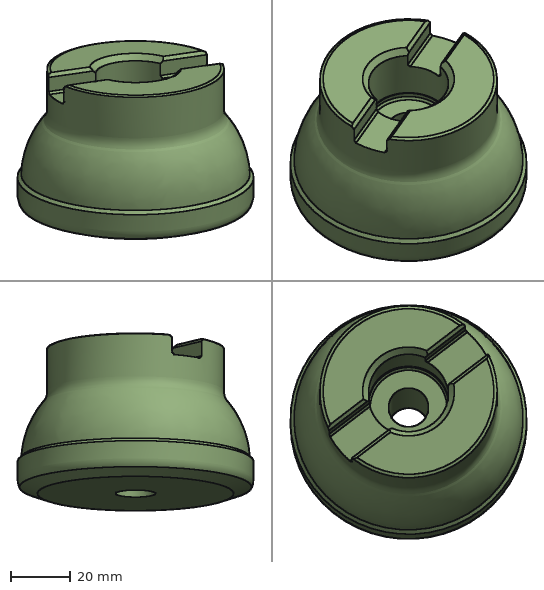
import cadquery as cq
import math

height = 50.0
rim_radius = 40.0
neck_radius = 30.0

rim_height = 12.15
rim_chamfer_height = 1.1
rim_round_start = 4.95
cone_top_radius = 39.3
cone_top_height = 2.2
rim_bore_radius = 33.2

dome_foot_radius = 77.5 / 2
dome_mid = (35.7, 24.4)
dome_top = (31.75, 30.6)
shoulder_bottom = (31.1, 31.35)
neck_bottom = 34.95
top_chamfer_width = 1.1
top_chamfer_height = 0.4

hole_diameter = 13.5
bore_radius = 27.0 / 2
bore_depth = 22.0
relief_radius = 27.5 / 2
relief_top_depth = 19.4
relief_floor_chamfer = 0.8
bore_mouth_chamfer = 2.0

slot_width = 12.3
slot_depth = 7.0
slot_mouth_chamfer = 1.2
slot_floor_chamfer = 0.8


def make_rim():
    """Revolved ring with a chamfered top and a rounded, coned bottom edge."""
    profile = (
        cq.Workplane("XZ")
        .moveTo(rim_bore_radius, 0)
        .lineTo(rim_bore_radius, rim_height)
        .lineTo(dome_foot_radius, rim_height)
        .lineTo(rim_radius, rim_height - rim_chamfer_height)
        .lineTo(rim_radius, rim_round_start)
        .tangentArcPoint((cone_top_radius, cone_top_height), relative=False)
        .close()
    )
    return profile.revolve(360, (0, 0, 0), (0, 1, 0))


def make_body_blank():
    """Solid of revolution: plug inside the rim, dome, concave shoulder and neck."""
    flare = shoulder_bottom[0] - neck_radius
    drop = neck_bottom - shoulder_bottom[1]
    shoulder_arc_radius = (flare**2 + drop**2) / (2 * flare)
    half_angle = math.asin(drop / shoulder_arc_radius) / 2
    shoulder_mid = (
        neck_radius + shoulder_arc_radius * (1 - math.cos(half_angle)),
        neck_bottom - shoulder_arc_radius * math.sin(half_angle),
    )
    profile = (
        cq.Workplane("XZ")
        .lineTo(rim_bore_radius, 0)
        .lineTo(rim_bore_radius, rim_height)
        .lineTo(dome_foot_radius, rim_height)
        .threePointArc(dome_mid, dome_top)
        .lineTo(*shoulder_bottom)
        .threePointArc(shoulder_mid, (neck_radius, neck_bottom))
        .lineTo(neck_radius, height - top_chamfer_height)
        .lineTo(neck_radius - top_chamfer_width, height)
        .lineTo(0, height)
        .close()
    )
    return profile.revolve(360, (0, 0, 0), (0, 1, 0))


def make_bore():
    """Cutter for the stepped bore, with a relief groove at its floor and a chamfered mouth."""
    floor = height - bore_depth
    hole_radius = hole_diameter / 2
    profile = (
        cq.Workplane("XZ")
        .lineTo(hole_radius, 0)
        .lineTo(hole_radius, floor)
        .lineTo(relief_radius - relief_floor_chamfer, floor)
        .lineTo(relief_radius, floor + relief_floor_chamfer)
        .lineTo(relief_radius, height - relief_top_depth)
        .lineTo(bore_radius, height - relief_top_depth)
        .lineTo(bore_radius, height - bore_mouth_chamfer)
        .lineTo(bore_radius + bore_mouth_chamfer, height)
        .lineTo(0, height)
        .close()
    )
    return profile.revolve(360, (0, 0, 0), (0, 1, 0))


def make_slot():
    """Cutter for the drive slot, with chamfers along its floor and mouth."""
    half_width = slot_width / 2
    floor = height - slot_depth
    right_side = [
        (half_width - slot_floor_chamfer, floor),
        (half_width, floor + slot_floor_chamfer),
        (half_width, height - slot_mouth_chamfer),
        (half_width + slot_mouth_chamfer, height),
    ]
    left_side = [(-x, z) for x, z in reversed(right_side)]
    outline = cq.Workplane("XZ").polyline(right_side + left_side).close()
    return outline.extrude(rim_radius, both=True)


rim = make_rim()
body = make_body_blank().cut(make_bore()).cut(make_slot())

result = cq.Compound.makeCompound([body.val(), rim.val()])